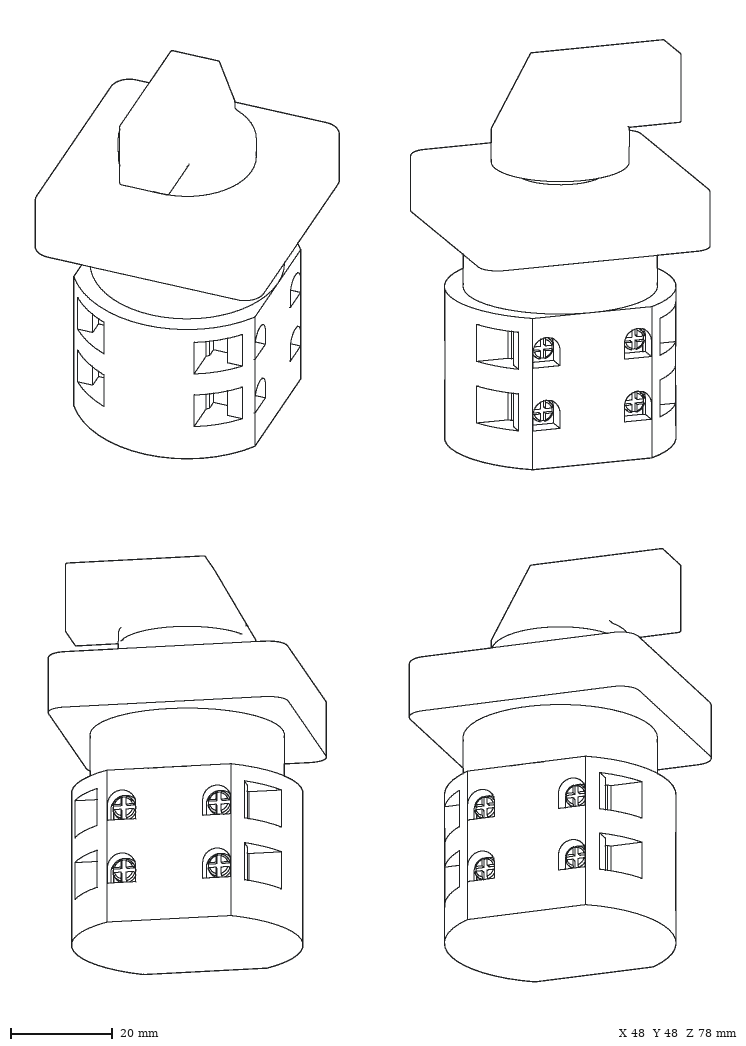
import cadquery as cq
import math

total_height = 78.0
contact_block_top = 31.05
plate_bottom = 43.0
plate_top = 54.45
disc_bottom = 56.55
disc_top = 61.4
grip_underside = 63.7

edge_round = 0.5

block_radius = 22.8
flat_offset = 19.1
flat_half_width = math.sqrt(block_radius**2 - flat_offset**2)
collar_radius = flat_offset

plate_size = 48.0
plate_corner_radius = 4.0

neck_radius = 8.65
disc_radius = 13.6
grip_width = 10.45
grip_tip_y = -23.5
grip_slope_top_y = 4.45
grip_slope_bottom_z = 61.7

entry_outer_x = 17.4
entry_inner_x = 9.5
entry_depth_y = math.sqrt(block_radius**2 - entry_outer_x**2)
entry_bottoms = (7.7, 20.35)
entry_height = 7.6
slot_outer_x = 14.2
slot_inner_x = 10.1
slot_taper_start_y = 14.2
slot_end_y = 11.55
slot_taper = slot_inner_x - entry_inner_x

screw_y = 9.5
screw_heights = (11.15, 24.0)
screw_radius = 2.3
screw_head_height = 1.8
screw_bevel = 0.4
cross_width = 1.0
cross_depth = 1.1
recess_rim = 0.1
recess_radius = flat_half_width - recess_rim - screw_y
recess_depth = 3.8
recess_drop = 3.2
ledge_thickness = 0.2
ledge_rise = 0.85


def box(x_range, y_range, z_range):
    """Axis-aligned box between pairs of limits."""
    size = [high - low for low, high in (x_range, y_range, z_range)]
    corner = cq.Vector(x_range[0], y_range[0], z_range[0])
    return cq.Workplane("XY").box(*size, centered=False).translate(corner)


def cylinder(radius, bottom, top):
    """Cylinder on the central Z axis."""
    return cq.Workplane("XY").workplane(offset=bottom).circle(radius).extrude(top - bottom)


def edges_within(shape, x_range, y_range, z_range):
    """Edges of a shape whose centres lie between pairs of limits."""
    margin = 0.01
    ranges = (x_range, y_range, z_range)
    low_corner = [low - margin for low, high in ranges]
    high_corner = [high + margin for low, high in ranges]
    return shape.edges(cq.selectors.BoxSelector(low_corner, high_corner))


def at_all_corners(shape):
    """The shape together with its mirror images in the X and Y centre planes."""
    pair = shape.union(shape.mirror("YZ"))
    return pair.union(pair.mirror("XZ"))


def contact_block():
    flats = box((-flat_offset, flat_offset), (-block_radius, block_radius), (0, contact_block_top))
    return cylinder(block_radius, 0, contact_block_top).intersect(flats)


def wire_entry(bottom):
    """Stepped pocket: a wide mouth and a narrower slot with one tapered shoulder."""
    return (
        cq.Workplane("XY")
        .workplane(offset=bottom)
        .moveTo(-entry_outer_x, -block_radius)
        .lineTo(-entry_outer_x, -entry_depth_y)
        .lineTo(-slot_outer_x, -entry_depth_y)
        .lineTo(-slot_outer_x, -slot_end_y)
        .lineTo(-slot_inner_x, -slot_end_y)
        .lineTo(-slot_inner_x, -slot_taper_start_y + slot_taper)
        .lineTo(-entry_inner_x, -slot_taper_start_y)
        .lineTo(-entry_inner_x, -block_radius)
        .close()
        .extrude(entry_height)
    )


def screw_recess(height):
    """Arched recess with a square lower half and a low ledge along its outer wall."""
    floor_x = -flat_offset + recess_depth
    arch = (
        cq.Workplane("YZ", origin=(-flat_offset, -screw_y, height))
        .circle(recess_radius)
        .extrude(recess_depth)
    )
    lower_half = box(
        (-flat_offset, floor_x),
        (-screw_y - recess_radius, -screw_y + recess_radius),
        (height - recess_drop, height),
    )
    ledge = box(
        (floor_x - ledge_thickness, floor_x),
        (-block_radius, -screw_y - screw_radius),
        (height - recess_drop, height + ledge_rise),
    )
    return arch.union(lower_half).cut(ledge)


def screw_head(height):
    """Bevelled round head with a cross slot, rising from the floor of its recess."""
    floor_x = -flat_offset + recess_depth
    face_x = floor_x - screw_head_height
    head = (
        cq.Workplane("YZ", origin=(face_x, -screw_y, height))
        .circle(screw_radius)
        .extrude(screw_head_height)
        .faces("<X")
        .chamfer(screw_bevel)
    )
    slot_plane = cq.Workplane("YZ", origin=(face_x, -screw_y, height))
    upright_slot = slot_plane.rect(cross_width, 2 * screw_radius).extrude(cross_depth)
    level_slot = slot_plane.rect(2 * screw_radius, cross_width).extrude(cross_depth)
    return head.cut(upright_slot).cut(level_slot)


def front_plate():
    return (
        cq.Workplane("XY")
        .workplane(offset=plate_bottom)
        .rect(plate_size, plate_size)
        .extrude(plate_top - plate_bottom)
        .edges("|Z")
        .fillet(plate_corner_radius)
        .faces(">Z")
        .edges()
        .fillet(edge_round)
    )


def grip_bar():
    """Bar with a sloped back, rounded along its slope, top and tip edges."""
    slope_run = disc_radius - grip_slope_top_y
    slope_drop = total_height - grip_slope_bottom_z
    grip_foot_y = grip_slope_top_y + slope_run / slope_drop * (total_height - disc_bottom)
    bar = (
        cq.Workplane("YZ", origin=(-grip_width / 2, 0, 0))
        .moveTo(grip_tip_y, disc_bottom)
        .lineTo(grip_tip_y, total_height)
        .lineTo(grip_slope_top_y, total_height)
        .lineTo(grip_foot_y, disc_bottom)
        .close()
        .extrude(grip_width)
    )
    slope_sides = edges_within(
        bar,
        (-grip_width, grip_width),
        (grip_slope_top_y, grip_foot_y),
        (grip_slope_bottom_z, total_height),
    ).edges("not |X")
    return slope_sides.add(bar.faces(">Z or <Y").edges("not <Z")).fillet(edge_round)


def knob():
    """Disc and grip in one piece; outside the overhanging tip the grip stays within the disc outline."""
    half_width = grip_width / 2
    overhang = box((-half_width, half_width), (grip_tip_y, 0), (grip_underside, total_height))
    envelope = cylinder(disc_radius, disc_bottom, total_height).union(overhang)
    blank = cylinder(disc_radius, disc_bottom, disc_top).union(grip_bar().intersect(envelope))
    disc_rim = edges_within(
        blank,
        (-disc_radius, disc_radius),
        (-disc_radius, disc_radius),
        (disc_top, disc_top),
    )
    grip_corners = edges_within(
        blank.edges("|Z"),
        (-half_width, half_width),
        (-disc_radius, disc_radius),
        (disc_top, grip_underside),
    )
    underside_rim = edges_within(
        blank,
        (-half_width, half_width),
        (grip_tip_y, -disc_radius),
        (grip_underside, grip_underside),
    )
    return disc_rim.add(grip_corners).add(underside_rim).fillet(edge_round)


body = contact_block()
for entry_bottom in entry_bottoms:
    body = body.cut(at_all_corners(wire_entry(entry_bottom)))
for screw_height in screw_heights:
    body = body.cut(at_all_corners(screw_recess(screw_height)))
    body = body.union(at_all_corners(screw_head(screw_height)))

result = (
    body.union(cylinder(collar_radius, contact_block_top, plate_bottom))
    .union(front_plate())
    .union(cylinder(neck_radius, plate_top, disc_bottom))
    .union(knob())
)